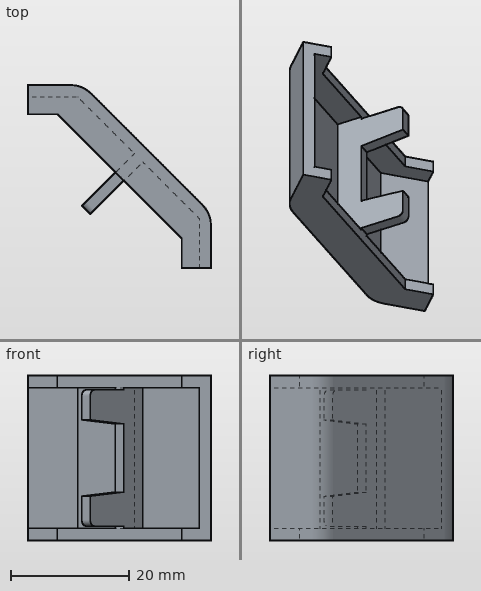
import cadquery as cq
import math

side = 31.0
height = 28.0

arm_depth = 5.0
outer_corner = 9.25
corner_radius = 5.0
wall = 2.0
lip = 2.1

rib_thickness = 2.0
rib_reach = 8.0
rib_clearance = 0.37
rib_corner_radius = 1.0
notch_tip_half = 6.45
notch_base_half = 5.77

cavity_height = height - 2 * lip
cavity_half = cavity_height / 2
outer_sum = side + outer_corner
floor_sum = outer_sum - wall * math.sqrt(2)
opening_centre = side / 2
floor_depth = (floor_sum - side) / math.sqrt(2)


def bent_strip(outer_side, slant_sum, strip_height):
    """Prism between the inner bent edge and an outer bent edge."""
    outer_start = slant_sum - outer_side
    points = [
        (0, side - arm_depth),
        (0, outer_side),
        (outer_start, outer_side),
        (outer_side, outer_start),
        (outer_side, 0),
        (side - arm_depth, 0),
        (side - arm_depth, arm_depth),
        (arm_depth, side - arm_depth),
    ]
    strip = cq.Workplane("XY").polyline(points).close().extrude(strip_height)
    return strip.translate((0, 0, -strip_height / 2))


def make_cover():
    body = bent_strip(side, outer_sum, height)
    for x, y in ((outer_corner, side), (side, outer_corner)):
        edge = cq.selectors.NearestToPointSelector((x, y, 0))
        body = body.edges(edge).fillet(corner_radius)
    cavity = bent_strip(side - wall, floor_sum, cavity_height)
    return body.cut(cavity)


def make_rib():
    rib_plane = cq.Plane(
        origin=(opening_centre, opening_centre, 0),
        xDir=(-1, -1, 0),
        normal=(-1, 1, 0),
    )
    tip_half = cavity_half - rib_clearance
    root_end = -floor_depth - wall / 2
    fillet_start = rib_reach - rib_corner_radius
    fillet_end = tip_half - rib_corner_radius
    arc_offset = rib_corner_radius * math.sqrt(0.5)
    profile = (
        cq.Workplane(rib_plane)
        .moveTo(root_end, -cavity_half)
        .lineTo(0, -cavity_half)
        .lineTo(0, -tip_half)
        .lineTo(fillet_start, -tip_half)
        .threePointArc((fillet_start + arc_offset, -fillet_end - arc_offset), (rib_reach, -fillet_end))
        .lineTo(rib_reach, -notch_tip_half)
        .lineTo(0, -notch_base_half)
        .lineTo(0, notch_base_half)
        .lineTo(rib_reach, notch_tip_half)
        .lineTo(rib_reach, fillet_end)
        .threePointArc((fillet_start + arc_offset, fillet_end + arc_offset), (fillet_start, tip_half))
        .lineTo(0, tip_half)
        .lineTo(0, cavity_half)
        .lineTo(root_end, cavity_half)
        .close()
    )
    return profile.extrude(rib_thickness / 2, both=True)


result = make_cover().union(make_rib())